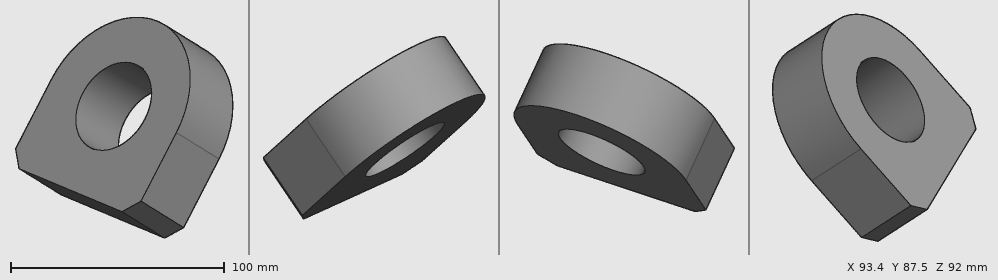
import cadquery as cq
import math

width = 90.0
thickness = 33.1
bore_diameter = 44.5
corner_chamfer = 8.0
centre_height = 44.3
lean_angle = 48.6
swing_angle = 7.2

round_radius = width / 2


def tilted_plane():
    """Plane of the front face: local y is the plate's upright axis, the normal faces -Y and +Z."""
    lean = math.radians(lean_angle)
    swing = math.radians(swing_angle)
    facing_y = -math.sin(lean)
    facing_z = math.cos(lean)
    across = (math.cos(swing), math.sin(swing) * facing_y, math.sin(swing) * facing_z)
    normal = (-math.sin(swing), math.cos(swing) * facing_y, math.cos(swing) * facing_z)
    return cq.Plane(origin=(0, 0, 0), xDir=across, normal=normal)


def plate(plane):
    """Flat foot with chamfered corners, straight sides and a tangent half-round top."""
    foot_half_width = round_radius - corner_chamfer
    shoulder = corner_chamfer - centre_height
    return (
        cq.Workplane(plane)
        .moveTo(-foot_half_width, -centre_height)
        .lineTo(foot_half_width, -centre_height)
        .lineTo(round_radius, shoulder)
        .lineTo(round_radius, 0)
        .threePointArc((0, round_radius), (-round_radius, 0))
        .lineTo(-round_radius, shoulder)
        .close()
        .extrude(-thickness)
    )


def bore(plane):
    """Through hole concentric with the rounded top."""
    return cq.Workplane(plane).circle(bore_diameter / 2).extrude(-thickness)


face_plane = tilted_plane()
result = plate(face_plane).cut(bore(face_plane))